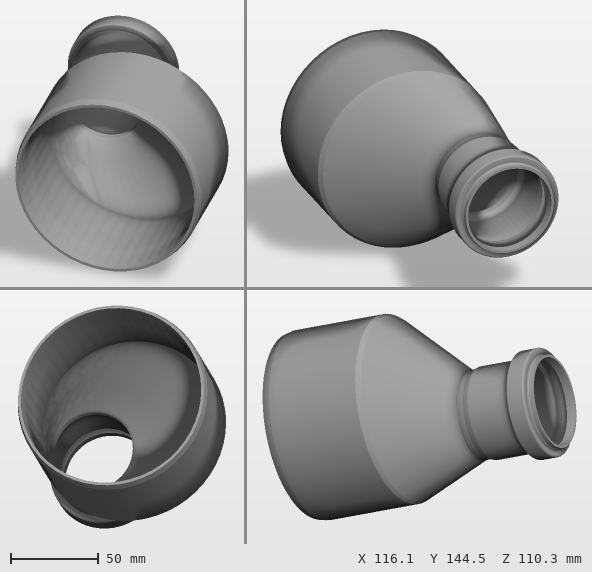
import cadquery as cq
import math

wide_outer = 110.3
wide_inner = 104.8
wall = (wide_outer - wide_inner) / 2
entry_length = 4.6
entry_diameter = 108.1

neck_outer = 52
neck_inner = neck_outer - 2 * wall
narrow_x = (neck_outer - wide_outer) / 2
neck_end = 99.1

bend_high_side = 62.0
bend_low_side = 60.1
bend_top = 62.9
bend_inset = 2.2
wide_bore_end = 60.1
mouth_start = 93.8
mouth_end = 95.0
mouth_flare = 1.3

socket_start = 102.6
socket_outer = 54.3
socket_inner = 50.9
collar_outer = 63.5
collar_inner = 60.3
collar_start = 129.5
collar_end = 140.7
collar_wall = (collar_outer - collar_inner) / 2
collar_rounding = 1.0
shoulder_outer = 55.8
shoulder_length = 1.2
lip_outer = 54.0
lip_inner = 51.2
total_length = 144.5


def circle_at(x, y, diameter):
    """Circular wire around an axis parallel to Y."""
    return cq.Wire.makeCircle(diameter / 2, cq.Vector(x, y, 0), cq.Vector(0, 1, 0))


def flush_circle(y, diameter, pipe_x, pipe_diameter):
    """Circle touching the -X side of a pipe of the given axis position and diameter."""
    return circle_at(pipe_x + (diameter - pipe_diameter) / 2, y, diameter)


def bend_section():
    """Elliptical section where a tilted plane cuts the wide pipe's outer surface."""
    slope = (bend_high_side - bend_low_side) / wide_outer
    normal = cq.Vector(slope, 1, 0)
    long_direction = cq.Vector(1, -slope, 0)
    long_radius = wide_outer / 2 * math.hypot(1, slope)
    centre = cq.Vector(0, (bend_high_side + bend_low_side) / 2, 0)
    return cq.Wire.makeEllipse(long_radius, wide_outer / 2, centre, normal, long_direction)


def ruled_solid(first, second):
    """Solid with straight sides between two closed sections."""
    return cq.Workplane(cq.Solid.makeLoft([first, second], True))


def turned(x, profile):
    """Solid of revolution from (diameter, y) points, closed along its axis."""
    start_y = profile[0][1]
    end_y = profile[-1][1]
    points = [(0, start_y)] + [(diameter / 2, y) for diameter, y in profile] + [(0, end_y)]
    solid = cq.Workplane("XY").polyline(points).close().revolve(360, (0, 0, 0), (0, 1, 0))
    return solid.translate((x, 0, 0))


def cone_to_neck(cone_base, narrow_diameter):
    """Oblique cone from its base circle to the flared mouth of the neck."""
    cone_tip = flush_circle(mouth_start, narrow_diameter + mouth_flare, narrow_x, narrow_diameter)
    neck_section = circle_at(narrow_x, mouth_end, narrow_diameter)
    return ruled_solid(cone_base, cone_tip).union(ruled_solid(cone_tip, neck_section))


def above_bend():
    """Wedge of space beyond the tilted plane where the wide pipe ends."""
    half = wide_outer / 2
    outline = [(-half, bend_high_side), (half, bend_low_side), (half, bend_top), (-half, bend_top)]
    return cq.Workplane("XY").polyline(outline).close().extrude(half, both=True)


wide_body = turned(0, [
    (entry_diameter, 0),
    (wide_outer, entry_length),
    (wide_outer, bend_top),
]).cut(above_bend())
cone_base = flush_circle(bend_top, wide_outer - bend_inset, 0, wide_outer)
bend = ruled_solid(bend_section(), cone_base)
outer_cone = cone_to_neck(cone_base, neck_outer)
narrow_body = turned(narrow_x, [
    (neck_outer, mouth_end),
    (neck_outer, neck_end),
    (socket_outer, socket_start),
    (socket_outer, collar_start - shoulder_length),
    (shoulder_outer, collar_start),
    (shoulder_outer, collar_end),
    (lip_outer, collar_end + shoulder_length),
    (lip_outer, total_length),
])
collar = turned(narrow_x, [(collar_outer, collar_start), (collar_outer, collar_end)])
collar = collar.edges().fillet(collar_rounding)
outside = wide_body.union(bend).union(outer_cone).union(narrow_body).union(collar)

wide_bore = turned(0, [(wide_inner, 0), (wide_inner, wide_bore_end)])
narrow_bore = turned(narrow_x, [
    (neck_inner, mouth_end),
    (neck_inner, neck_end),
    (socket_inner, socket_start),
    (socket_inner, collar_start + collar_wall),
    (collar_inner, collar_start + collar_wall),
    (collar_inner, collar_end - collar_wall),
    (lip_inner, collar_end - collar_wall),
    (lip_inner, total_length),
])
inner_cone = cone_to_neck(circle_at(0, wide_bore_end, wide_inner), neck_inner)
inside = wide_bore.union(inner_cone).union(narrow_bore)

result = outside.cut(inside)